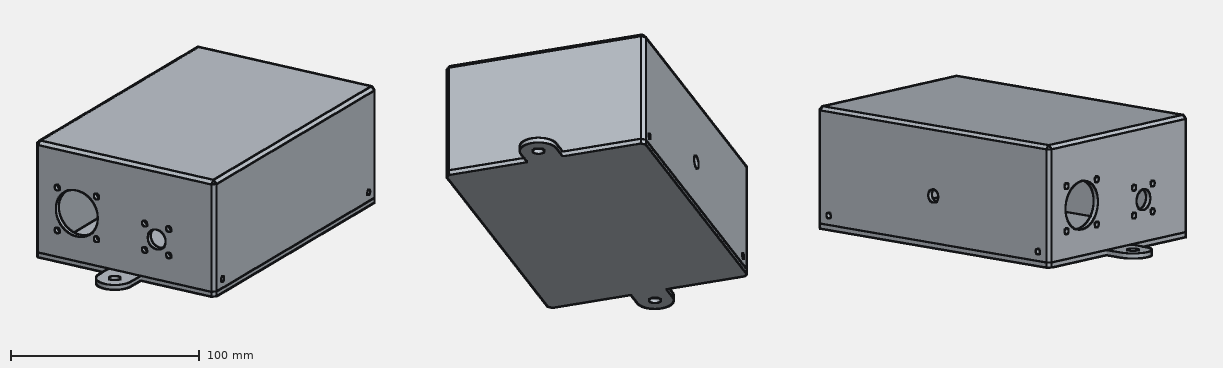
import cadquery as cq

box_width = 112.1
box_length = 163.0
total_length = 203.0
total_height = 66.0
base_thickness = 2.8
wall_thickness = 3.0
edge_chamfer = 2.0

tab_radius = (total_length - box_length) / 4
tab_hole_y = total_length / 2 - tab_radius
tab_hole_diameter = 6.3
tab_root_fillet = 0.5

large_opening_diameter = 26.2
large_opening_x = -29.9
large_opening_z = 30.0
large_screw_spacing = 24.4
small_opening_diameter = 11.2
small_opening_x = 20.0
small_opening_z = 25.5
small_screw_spacing = 15.0
front_screw_diameter = 3.2

side_opening_diameter = 7.1
side_opening_z = 28.2
side_screw_diameter = 3.0
side_screw_spacing = 147.0
side_screw_z = 8.0


def make_base():
    """Flat plate with chamfered corners and a round-ended tab at each end, filleted at its root."""
    plate = cq.Workplane("XY").rect(box_width, box_length).extrude(base_thickness)
    plate = plate.edges("|Z").chamfer(edge_chamfer)
    tabs = (
        cq.Workplane("XY")
        .slot2D(total_length, 2 * tab_radius, 90)
        .extrude(base_thickness)
    )
    tab_holes = (
        cq.Workplane("XY")
        .pushPoints([(0, -tab_hole_y), (0, tab_hole_y)])
        .circle(tab_hole_diameter / 2)
        .extrude(base_thickness)
    )
    outline = plate.union(tabs)
    root_x = 2 * tab_radius
    root_y = box_length / 2 + tab_root_fillet
    root_region = cq.selectors.BoxSelector((-root_x, -root_y, 0), (root_x, root_y, base_thickness))
    root_edges = outline.edges("|Z").edges(root_region)
    return root_edges.fillet(tab_root_fillet).cut(tab_holes)


def make_shell():
    """Hollow box, open at the bottom, standing on the base."""
    outer = (
        cq.Workplane("XY", origin=(0, 0, base_thickness))
        .rect(box_width, box_length)
        .extrude(total_height - base_thickness)
        .edges("|Z or >Z")
        .chamfer(edge_chamfer)
    )
    cavity = (
        cq.Workplane("XY", origin=(0, 0, base_thickness))
        .rect(box_width - 2 * wall_thickness, box_length - 2 * wall_thickness)
        .extrude(total_height - base_thickness - wall_thickness)
    )
    return outer.cut(cavity)


def front_cutter(x, z, opening_diameter, screw_spacing):
    """Round opening and its four screw holes, through the front wall only."""
    front_plane = cq.Workplane("XZ", origin=(x, -box_length / 2, z))
    opening = front_plane.circle(opening_diameter / 2).extrude(-wall_thickness)
    screw_holes = (
        front_plane.rect(screw_spacing, screw_spacing, forConstruction=True)
        .vertices()
        .circle(front_screw_diameter / 2)
        .extrude(-wall_thickness)
    )
    return opening.union(screw_holes)


def side_opening_cutter():
    """Round opening through the left wall only."""
    return (
        cq.Workplane("YZ", origin=(-box_width / 2, 0, side_opening_z))
        .circle(side_opening_diameter / 2)
        .extrude(wall_thickness)
    )


def side_screw_cutter():
    """Screw holes near the bottom corners, through both side walls."""
    return (
        cq.Workplane("YZ", origin=(0, 0, side_screw_z))
        .pushPoints([(-side_screw_spacing / 2, 0), (side_screw_spacing / 2, 0)])
        .circle(side_screw_diameter / 2)
        .extrude(box_width / 2, both=True)
    )


base = make_base()

shell = (
    make_shell()
    .cut(front_cutter(large_opening_x, large_opening_z, large_opening_diameter, large_screw_spacing))
    .cut(front_cutter(small_opening_x, small_opening_z, small_opening_diameter, small_screw_spacing))
    .cut(side_opening_cutter())
    .cut(side_screw_cutter())
)

result = cq.Compound.makeCompound([base.val(), shell.val()])